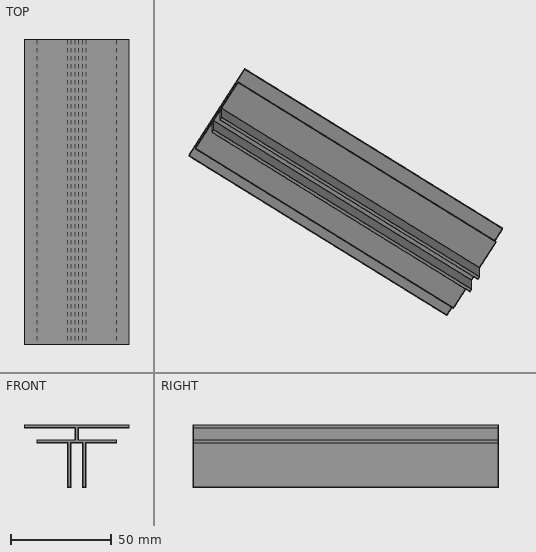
import cadquery as cq

length = 152.4
top_width = 52.3
height = 31.2

wall = 1.5
lower_width = 40.0
flange_gap = 6.0
leg_spacing = 7.5

top_z = height / 2
top_underside_z = top_z - wall
lower_top_z = top_underside_z - flange_gap
lower_underside_z = lower_top_z - wall
bottom_z = -height / 2


def bar(width, x_centre, z_low, z_high):
    """Rectangular bar running the full length of the profile along Y."""
    bar_height = z_high - z_low
    z_centre = (z_low + z_high) / 2
    return cq.Workplane("XY").box(width, length, bar_height).translate((x_centre, 0, z_centre))


result = bar(top_width, 0, top_underside_z, top_z)

result = result.union(bar(wall, 0, lower_top_z, top_underside_z))

result = result.union(bar(lower_width, 0, lower_underside_z, lower_top_z))

for side in (-1, 1):
    result = result.union(bar(wall, side * leg_spacing / 2, bottom_z, lower_underside_z))